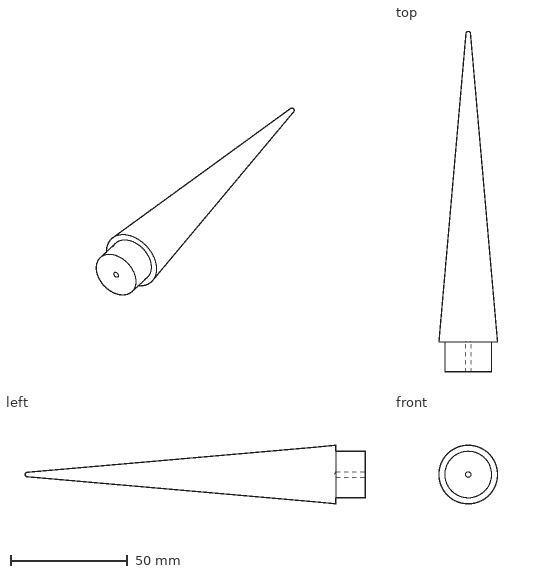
import cadquery as cq
import math

total_length = 145.8
cone_base_radius = 25.2 / 2
spigot_radius = 20.0 / 2
spigot_length = 12.7
tip_radius = 1.0
hole_radius = 1.2
hole_depth = spigot_length
drill_point_angle = 118.0

spigot_end = -total_length / 2
shoulder = spigot_end + spigot_length
tip_end = total_length / 2
dome_start = tip_end - tip_radius
dome_offset = tip_radius * math.sin(math.radians(45))


def turned_body():
    """Spigot, square shoulder, long cone and hemispherical tip."""
    return (
        cq.Workplane("XY")
        .moveTo(0, spigot_end)
        .lineTo(spigot_radius, spigot_end)
        .lineTo(spigot_radius, shoulder)
        .lineTo(cone_base_radius, shoulder)
        .lineTo(tip_radius, dome_start)
        .threePointArc((dome_offset, dome_start + dome_offset), (0, tip_end))
        .close()
        .revolve(360, (0, 0, 0), (0, 1, 0))
    )


def centre_hole():
    """Blind drilled hole with a conical bottom, entering the spigot face."""
    hole_bottom = spigot_end + hole_depth
    point_height = hole_radius / math.tan(math.radians(drill_point_angle / 2))
    return (
        cq.Workplane("XY")
        .moveTo(0, spigot_end)
        .lineTo(hole_radius, spigot_end)
        .lineTo(hole_radius, hole_bottom)
        .lineTo(0, hole_bottom + point_height)
        .close()
        .revolve(360, (0, 0, 0), (0, 1, 0))
    )


result = turned_body().cut(centre_hole())